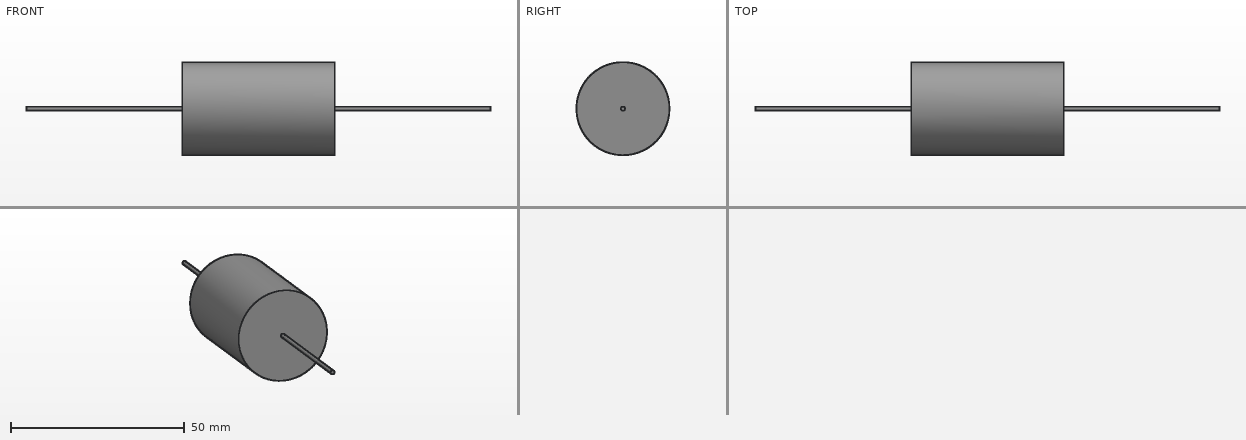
import cadquery as cq

OVERALL_LENGTH = 134.0
HOUSING_LENGTH = 44.1
HOUSING_DIAMETER = 27.0
LEAD_DIAMETER = 1.2


def axial_cylinder(diameter, length):
    """Solid cylinder along X, centred on the origin."""
    return cq.Workplane("YZ", origin=(-length / 2, 0, 0)).circle(diameter / 2).extrude(length)


def make_lead():
    """Wire that runs through the housing and out of both ends."""
    return axial_cylinder(LEAD_DIAMETER, OVERALL_LENGTH)


def make_housing():
    """Plain cylindrical housing with a through bore that fits the lead."""
    lead_bore = axial_cylinder(LEAD_DIAMETER, HOUSING_LENGTH)
    return axial_cylinder(HOUSING_DIAMETER, HOUSING_LENGTH).cut(lead_bore)


housing = make_housing()
lead = make_lead()

result = cq.Compound.makeCompound([housing.val(), lead.val()])